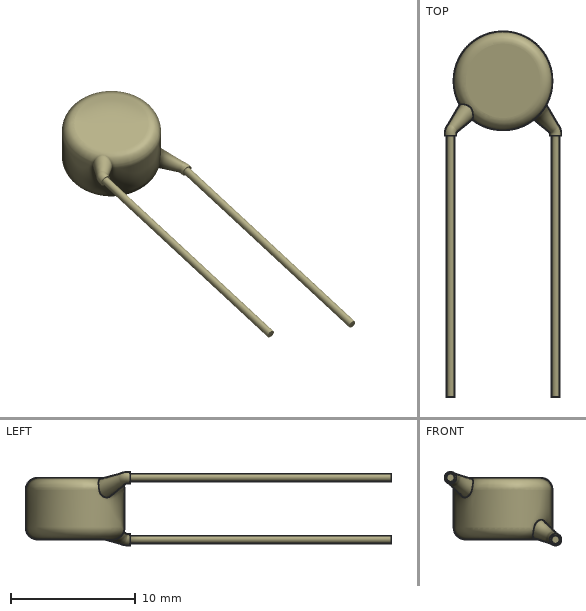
import cadquery as cq
import math

disc_diameter = 8.0
disc_height = 5.0
disc_edge_radius = 1.0

lead_diameter = 0.65
lead_pitch = 8.47
overall_length = 29.5
lead_x = -lead_pitch / 2
lead_z = disc_height / 2
lead_tip_y = disc_diameter / 2 - overall_length

sleeve_radius = 0.475
collar_end_y = -4.43
collar_length = 0.17
bend_radius = 0.6
cone_direction = cq.Vector(1.0, 1.17, -0.6).normalized()
cone_length = 2.6
cone_half_angle = 9.5
cone_root_radius = sleeve_radius + cone_length * math.tan(math.radians(cone_half_angle))

along_y = cq.Vector(0, 1, 0)


def make_disc():
    underside = cq.Workplane("XY").workplane(offset=-disc_height / 2)
    disc = underside.circle(disc_diameter / 2).extrude(disc_height)
    return disc.faces("<Z or >Z").edges().fillet(disc_edge_radius)


def make_sleeve():
    """Sleeve at the -X, +Z corner of the disc, reaching into the disc."""
    collar_start = cq.Vector(lead_x, collar_end_y, lead_z)
    collar = cq.Solid.makeCylinder(sleeve_radius, collar_length, collar_start, along_y)

    bend_start = collar_start + along_y * collar_length
    bend_angle = along_y.getAngle(cone_direction)
    sideways = (cone_direction - along_y * along_y.dot(cone_direction)).normalized()
    bend_centre = bend_start + sideways * bend_radius
    bend_axis = along_y.cross(cone_direction).normalized()
    bend_plane = cq.Plane(origin=bend_start, xDir=sideways, normal=along_y)
    axis_sign = 1 if bend_plane.yDir.dot(bend_axis) > 0 else -1
    bend = (
        cq.Workplane(bend_plane)
        .circle(sleeve_radius)
        .revolve(math.degrees(bend_angle), (bend_radius, 0), (bend_radius, axis_sign))
    )

    cone_start = (
        bend_centre
        - sideways * (bend_radius * math.cos(bend_angle))
        + along_y * (bend_radius * math.sin(bend_angle))
    )
    cone = cq.Solid.makeCone(sleeve_radius, cone_root_radius, cone_length, cone_start, cone_direction)
    return bend.union(cq.Workplane(collar)).union(cq.Workplane(cone))


def make_lead():
    """Wire at the -X, +Z corner, from the collar face to its tip."""
    wire_plane = cq.Plane(origin=(lead_x, collar_end_y, lead_z), xDir=(1, 0, 0), normal=(0, -1, 0))
    return cq.Workplane(wire_plane).circle(lead_diameter / 2).extrude(collar_end_y - lead_tip_y)


side_angles = (0, 180)
sleeve = make_sleeve()
lead = make_lead()

coated_body = make_disc()
leads = []
for angle in side_angles:
    coated_body = coated_body.union(sleeve.rotate((0, 0, 0), (0, 1, 0), angle))
    leads.append(lead.rotate((0, 0, 0), (0, 1, 0), angle).val())

result = cq.Compound.makeCompound([coated_body.val(), *leads])